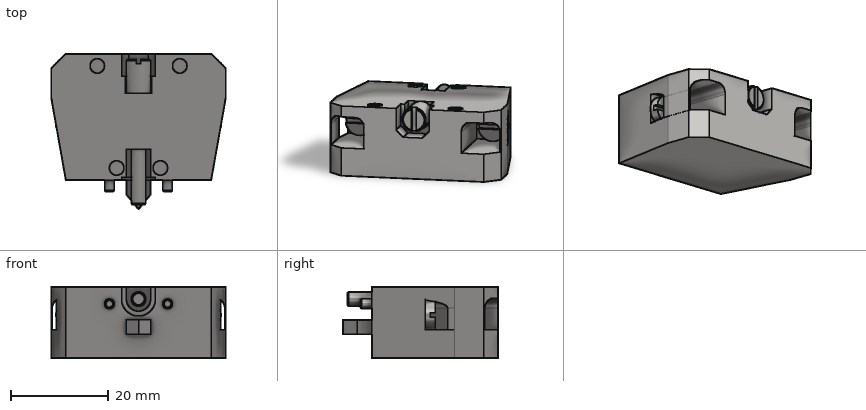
import cadquery as cq


width = 36.0
depth = 26.0
height = 14.7
front_width = 30.0
taper_depth = 17.0
back_chamfer = 3.0

mark_dia = 3.0
mark_depth = 0.3
mark_edge_gap = 2.5
front_mark_spacing = 9.0
back_mark_spacing = 17.0

front_slot_width = 5.0
axis_z = height - front_slot_width / 2
front_slot_depth = 6.3
front_rebate_width = 7.0
front_rebate_depth = 0.6
main_pin_dia = 3.0
main_pin_reach = 5.1

guide_pin_dia = 2.0
guide_pin_reach = 2.4
guide_pin_spacing = 12.0
guide_pin_z = height - 3.5
pin_chamfer = 0.3
wedge_width = 5.0
wedge_height = 3.0
wedge_reach = 6.0
wedge_straight = 3.0
wedge_top_z = height - 6.8

back_slot_width = 5.4
back_slot_depth = 8.15
nut_pocket_width = 7.0
nut_pocket_depth = 4.65
nut_pocket_floor_width = 4.0
nut_pocket_floor_z = height - 6.0
back_screw_dia = 5.0
back_screw_setback = 1.15
back_screw_slot_depth = 0.85
screw_chamfer = 0.3
screw_slot_width = 1.0

channel_x = 14.0
channel_width = 7.5
channel_floor_z = height - 8.82
channel_height = 6.5
channel_corner = 2.0
channel_end_y = 11.0
side_screw_dia = 6.0
side_screw_length = 2.0
side_screw_slot_depth = 1.05
side_screw_gap = 0.05
side_screw_z = channel_floor_z + side_screw_gap + side_screw_dia / 2


def section(y):
    """Workplane at the given Y, facing -Y: local x is X and local y is Z."""
    return cq.Workplane("XZ", origin=(0, y, 0))


def rod(x, z, diameter, start_y, end_y):
    """Cylinder along Y, running from start_y back to end_y."""
    return section(end_y).center(x, z).circle(diameter / 2).extrude(end_y - start_y)


def front_pin(x, z, diameter, reach, root_y=0):
    """Pin that stands out from the front face and has a chamfered tip."""
    return rod(x, z, diameter, -reach, root_y).faces("<Y").chamfer(pin_chamfer)


def round_slot(slot_width, start_y, end_y):
    """Slot open at the top, with a half-round bottom about the central axis."""
    radius = slot_width / 2
    return (
        section(end_y)
        .moveTo(-radius, height)
        .lineTo(-radius, axis_z)
        .threePointArc((0, axis_z - radius), (radius, axis_z))
        .lineTo(radius, height)
        .close()
        .extrude(end_y - start_y)
    )


def make_body():
    return (
        cq.Workplane("XY")
        .polyline([
            (-front_width / 2, 0),
            (front_width / 2, 0),
            (width / 2, taper_depth),
            (width / 2, depth - back_chamfer),
            (width / 2 - back_chamfer, depth),
            (back_chamfer - width / 2, depth),
            (-width / 2, depth - back_chamfer),
            (-width / 2, taper_depth),
        ])
        .close()
        .extrude(height)
    )


def make_marks():
    rows = [
        (front_mark_spacing / 2, mark_edge_gap),
        (back_mark_spacing / 2, depth - mark_edge_gap),
    ]
    points = [(side * x, y) for x, y in rows for side in (-1, 1)]
    return (
        cq.Workplane("XY", origin=(0, 0, height - mark_depth))
        .pushPoints(points)
        .circle(mark_dia / 2)
        .extrude(mark_depth)
    )


def make_nut_pocket():
    """Pocket open at the top and back, with 45 degree flats beside its floor."""
    half_width = nut_pocket_width / 2
    half_floor = nut_pocket_floor_width / 2
    flat_top_z = nut_pocket_floor_z + half_width - half_floor
    return (
        section(depth)
        .polyline([
            (-half_width, height),
            (-half_width, flat_top_z),
            (-half_floor, nut_pocket_floor_z),
            (half_floor, nut_pocket_floor_z),
            (half_width, flat_top_z),
            (half_width, height),
        ])
        .close()
        .extrude(nut_pocket_depth)
    )


def make_back_screw():
    """Screw with a chamfered end and a vertical driver slot."""
    end_y = depth - back_screw_setback
    screw = rod(0, axis_z, back_screw_dia, depth - back_slot_depth, end_y)
    screw = screw.faces(">Y").chamfer(screw_chamfer)
    slot = (
        section(end_y)
        .center(0, axis_z)
        .rect(screw_slot_width, back_screw_dia)
        .extrude(back_screw_slot_depth)
    )
    return screw.cut(slot)


def make_channel(side):
    """Channel along Y, rounded at its two upper edges, that breaks out of the tapered side."""
    return (
        section(depth)
        .center(side * channel_x, channel_floor_z + channel_height / 2)
        .rect(channel_width, channel_height)
        .extrude(depth - channel_end_y)
        .edges("|Y and >Z")
        .fillet(channel_corner)
    )


def make_side_screw(side):
    """Screw head on the end wall of a channel, with a horizontal driver slot."""
    end_y = channel_end_y + side_screw_length
    head = rod(side * channel_x, side_screw_z, side_screw_dia, channel_end_y, end_y)
    slot = (
        section(end_y)
        .center(side * channel_x, side_screw_z)
        .rect(side_screw_dia, screw_slot_width)
        .extrude(side_screw_slot_depth)
    )
    return head.cut(slot)


def make_wedge():
    half_width = wedge_width / 2
    return (
        cq.Workplane("XY", origin=(0, 0, wedge_top_z - wedge_height))
        .polyline([
            (-half_width, 0),
            (-half_width, -wedge_straight),
            (0, -wedge_reach),
            (half_width, -wedge_straight),
            (half_width, 0),
        ])
        .close()
        .extrude(wedge_height)
    )


result = make_body().cut(make_marks())
result = result.cut(round_slot(front_slot_width, 0, front_slot_depth))
result = result.cut(round_slot(front_rebate_width, 0, front_rebate_depth))
result = result.cut(round_slot(back_slot_width, depth - back_slot_depth, depth))
result = result.cut(make_nut_pocket())
for side in (-1, 1):
    result = result.cut(make_channel(side))

result = result.union(front_pin(0, axis_z, main_pin_dia, main_pin_reach, front_slot_depth))
result = result.union(make_back_screw())
result = result.union(make_wedge())
for side in (-1, 1):
    guide_pin_x = side * guide_pin_spacing / 2
    result = result.union(front_pin(guide_pin_x, guide_pin_z, guide_pin_dia, guide_pin_reach))
    result = result.union(make_side_screw(side))